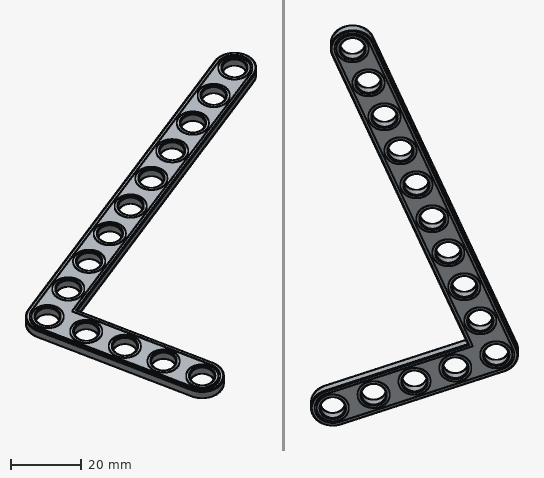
import cadquery as cq

pitch = 12.5
long_hole_count = 10
short_hole_count = 5
thickness = 3.1
hole_diameter = 7.0
rim_width = 1.1
recess_depth = 0.2
edge_chamfer = 0.3

ring_diameter = hole_diameter + 2 * rim_width
long_span = (long_hole_count - 1) * pitch
short_span = (short_hole_count - 1) * pitch

hole_centers = [(0, row * pitch) for row in range(long_hole_count)]
hole_centers += [(column * pitch, 0) for column in range(1, short_hole_count)]


def angle_plate(width, height):
    """L-shaped plate with round ends, standing on the XY plane."""
    long_arm = (
        cq.Workplane("XY").center(0, long_span / 2).slot2D(long_span + width, width, 90).extrude(height)
    )
    short_arm = (
        cq.Workplane("XY").center(short_span / 2, 0).slot2D(short_span + width, width).extrude(height)
    )
    return long_arm.union(short_arm)


def recess():
    """Shallow pocket inside the border that leaves a ring standing around each hole."""
    pocket = angle_plate(pitch - 2 * rim_width, recess_depth)
    rings = cq.Workplane("XY").pushPoints(hole_centers).circle(ring_diameter / 2).extrude(recess_depth)
    return pocket.cut(rings)


def hole_cutter():
    """Through hole with a conical lead-in at both ends, centred on the origin."""
    hole_radius = hole_diameter / 2
    mouth_radius = hole_radius + edge_chamfer
    profile = [
        (0, 0),
        (mouth_radius, 0),
        (hole_radius, edge_chamfer),
        (hole_radius, thickness - edge_chamfer),
        (mouth_radius, thickness),
        (0, thickness),
    ]
    return cq.Workplane("XZ").polyline(profile).close().revolve(360, (0, 0, 0), (0, 1, 0))


result = angle_plate(pitch, thickness).faces("<Z or >Z").edges().chamfer(edge_chamfer)

result = result.cut(recess()).cut(recess().translate((0, 0, thickness - recess_depth)))

cutter = hole_cutter()
for x, y in hole_centers:
    result = result.cut(cutter.translate((x, y, 0)))

result = result.translate((-short_span / 2, -long_span / 2, -thickness / 2))